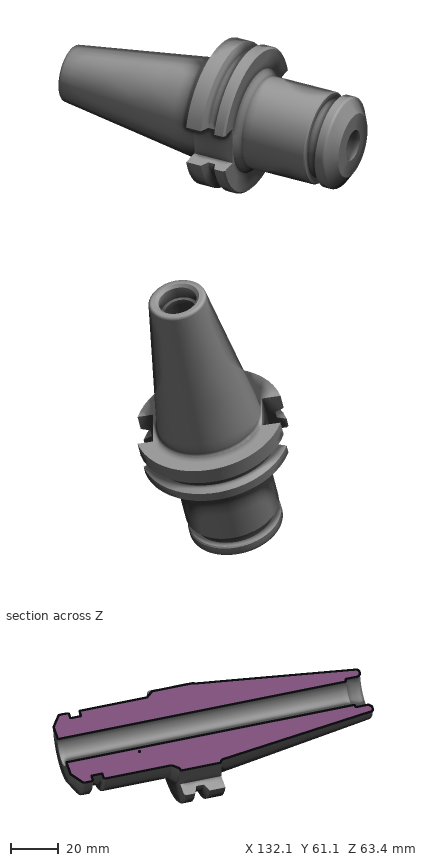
import cadquery as cq

total_length = 132.1
taper_end = 67.9
flange_root_radius = 1.3
flange_start = taper_end + flange_root_radius
flange_end = 87.0
collar_end = 89.8
snap_groove_start = 119.3
snap_groove_end = 123.8
nose_chamfer_start = 128.1

tip_diameter = 24.5
taper_diameter = 44.5
flange_diameter = 63.4
collar_diameter = 45.2
shank_diameter = 40.0
snap_groove_diameter = 34.0
nose_diameter = 27.7

grip_groove_start = 76.1
grip_floor_start = 77.7
grip_floor_end = 80.8
grip_groove_end = 82.3
grip_groove_diameter = 56.0

tip_fillet = 1.5
flange_chamfer = 0.8
groove_edge_chamfer = 0.5
nose_fillet = 1.3

slot_width = 16.9
front_slot_floor_offset = 22.7
back_slot_floor_offset = 23.9

through_diameter = 13.3
entry_diameter = 16.2
entry_chamfer_diameter = 18.9
entry_chamfer_length = 1.2
entry_depth = 6.7


def make_body():
    """Revolve the outer profile around X; profile points are (x, radius)."""
    shank_radius = shank_diameter / 2
    flange_radius = flange_diameter / 2
    snap_groove_radius = snap_groove_diameter / 2
    edge_radius = shank_radius - groove_edge_chamfer
    root_radius = taper_diameter / 2
    profile = (
        cq.Workplane("XY")
        .moveTo(0, 0)
        .lineTo(0, tip_diameter / 2)
        .lineTo(taper_end, root_radius)
        .radiusArc((flange_start, root_radius + flange_root_radius), -flange_root_radius)
        .lineTo(flange_start, flange_radius)
        .lineTo(grip_groove_start, flange_radius)
        .lineTo(grip_floor_start, grip_groove_diameter / 2)
        .lineTo(grip_floor_end, grip_groove_diameter / 2)
        .lineTo(grip_groove_end, flange_radius)
        .lineTo(flange_end - flange_chamfer, flange_radius)
        .lineTo(flange_end, flange_radius - flange_chamfer)
        .lineTo(flange_end, collar_diameter / 2)
        .lineTo(collar_end, shank_radius)
        .lineTo(snap_groove_start - groove_edge_chamfer, shank_radius)
        .lineTo(snap_groove_start, edge_radius)
        .lineTo(snap_groove_start, snap_groove_radius)
        .lineTo(snap_groove_end, snap_groove_radius)
        .lineTo(snap_groove_end, edge_radius)
        .lineTo(snap_groove_end + groove_edge_chamfer, shank_radius)
        .lineTo(nose_chamfer_start, shank_radius)
        .lineTo(total_length, nose_diameter / 2)
        .lineTo(total_length, 0)
        .close()
    )
    body = profile.revolve(360, (0, 0, 0), (1, 0, 0))
    selection_margin = 0.1
    nose_edge = cq.selectors.BoxSelector(
        (nose_chamfer_start - selection_margin, -flange_radius, -flange_radius),
        (nose_chamfer_start + selection_margin, flange_radius, flange_radius),
    )
    return body.faces("<X").edges().fillet(tip_fillet).edges(nose_edge).fillet(nose_fillet)


def make_bore():
    """Through bore with a wider, chamfered entry at the taper end."""
    return (
        cq.Workplane("XY")
        .moveTo(0, 0)
        .lineTo(0, entry_chamfer_diameter / 2)
        .lineTo(entry_chamfer_length, entry_diameter / 2)
        .lineTo(entry_depth, entry_diameter / 2)
        .lineTo(entry_depth, through_diameter / 2)
        .lineTo(total_length, through_diameter / 2)
        .lineTo(total_length, 0)
        .close()
        .revolve(360, (0, 0, 0), (1, 0, 0))
    )


def make_drive_slot(side, floor_offset):
    """Cutter for one drive slot; side is +1 or -1 along Y, floor_offset is measured from the axis."""
    slot_depth = flange_diameter / 2 - floor_offset
    slot_length = flange_end - taper_end
    slot_center = (taper_end + slot_length / 2, side * (floor_offset + slot_depth / 2), 0)
    return cq.Workplane("XY").box(slot_length, slot_depth, slot_width).translate(slot_center)


result = make_body().cut(make_bore())
result = result.cut(make_drive_slot(-1, front_slot_floor_offset))
result = result.cut(make_drive_slot(1, back_slot_floor_offset))